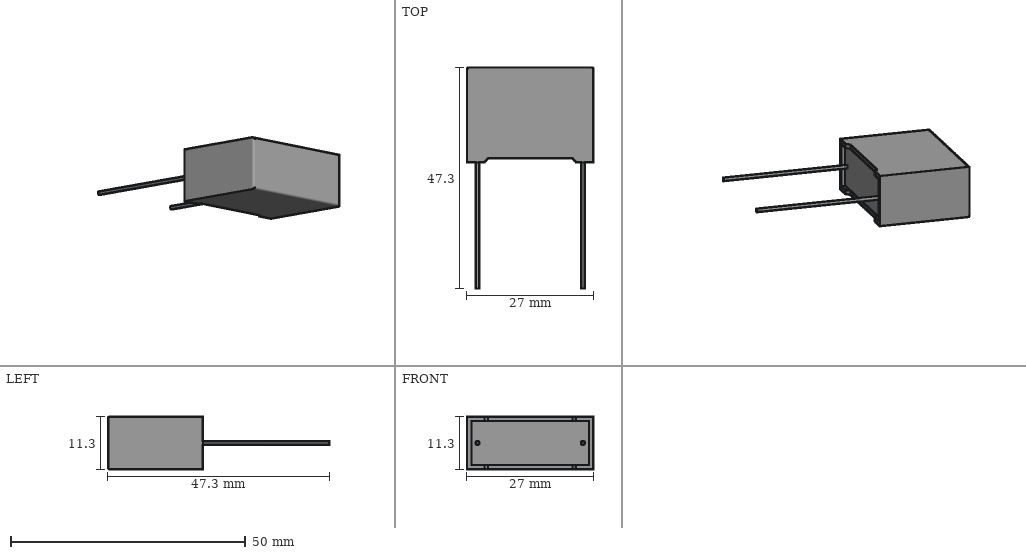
import cadquery as cq

case_width = 27.0
case_length = 20.3
case_height = 11.3
wall = 0.95
back_edge_radius = 0.45

relief_depth = 0.8
relief_end_margin = 3.7
relief_ramp = 0.8

potting_recess = relief_depth

overall_length = 47.3
lead_diameter = 0.8
lead_pitch = 22.5

cavity_width = case_width - 2 * wall
cavity_height = case_height - 2 * wall
cavity_length = case_length - wall
potting_length = cavity_length - potting_recess
lead_tip_y = case_length - overall_length


def block_from(front_y, width, length, height):
    """Box centred on X and Z that runs from front_y towards +Y."""
    return cq.Workplane("XY", origin=(0, front_y, 0)).box(
        width, length, height, centered=(True, False, True)
    )


def make_rim_relief():
    """Trapezoid with ramped ends that passes through the full case height."""
    outer_half = case_width / 2 - relief_end_margin
    inner_half = outer_half - relief_ramp
    return (
        cq.Workplane("XY")
        .polyline([
            (-outer_half, 0),
            (outer_half, 0),
            (inner_half, relief_depth),
            (-inner_half, relief_depth),
        ])
        .close()
        .extrude(case_height / 2, both=True)
    )


def make_case():
    outer = block_from(0, case_width, case_length, case_height)
    outer = outer.faces(">Y").edges().fillet(back_edge_radius)
    cavity = block_from(0, cavity_width, cavity_length, cavity_height)
    return outer.cut(cavity).cut(make_rim_relief())


def make_potting():
    """Block that fills the cavity behind the recess."""
    return block_from(potting_recess, cavity_width, potting_length, cavity_height)


def make_lead(x):
    """Round wire from the potting surface out to the lead tip."""
    return cq.Workplane("XZ", origin=(x, potting_recess, 0)).circle(lead_diameter / 2).extrude(
        potting_recess - lead_tip_y
    )


case = make_case()
potting = make_potting()
leads = [make_lead(side * lead_pitch / 2) for side in (-1, 1)]

result = cq.Compound.makeCompound([case.val(), potting.val(), *[lead.val() for lead in leads]])